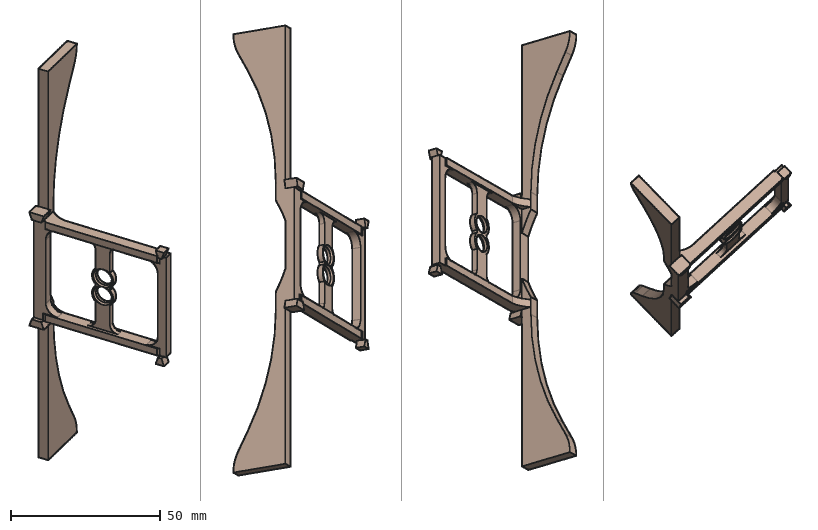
import cadquery as cq
import math


wing_length = 154.9
wing_thickness = 3.7
wing_depth = 19.8
waist_depth = 3.7
tip_radius = 14.9
sweep_radius = 85.2
sweep_start = 22.5
sweep_angle = math.radians(29)
waist_bottom = 16.1
taper_end = 8.4
taper_sag = 0.3

frame_height = 39.7
frame_right = 50.8
column_depth = 3.3
left_column_width = 4.6
right_column_width = 3.3
beam_height = 2.8
beam_front = -3.7
beam_back = 0.5
tenon_length = 1.0
tenon_front = -3.5
corner_radius = 4.3

post_center = 26.0
post_width = 5.5
post_front = -2.5
post_back = -0.5
post_fillet = 3.0
hole_diameter = 6.0
ring_diameter = 8.2
countersink_diameter = 7.1
countersink_depth = 0.8
ring_pitch = 7.0

foot_height = 2.8
foot_flare = 1.0
foot_front = -4.6
left_foot_width = wing_thickness
right_foot_width = right_column_width - 2 * foot_flare
right_foot_depth = 3.3

gusset_reach = 9.8
gusset_mid = (6.2, 1.7)

half_frame = frame_height / 2
half_opening = half_frame - beam_height
opening_left = left_column_width
opening_right = frame_right - right_column_width


def box(x_range, y_range, z_range):
    """Axis-aligned block from its three (low, high) ranges."""
    sizes = [high - low for low, high in (x_range, y_range, z_range)]
    corner = (x_range[0], y_range[0], z_range[0])
    return cq.Workplane("XY").box(*sizes, centered=False).translate(corner)


def both_ends(upper):
    """The solid together with its mirror image below Z = 0."""
    return upper.union(upper.mirror("XY"))


def extrude_y(sketch, y_back, y_front):
    """Extrude an XZ sketch, drawn at Y = 0, so that it fills y_front to y_back."""
    return sketch.extrude(y_back - y_front).translate((0, y_back, 0))


def upper_wing():
    """Upper half of the wing: waist, concave sweep, straight flank, convex tip."""
    half_length = wing_length / 2
    rise, run = math.cos(sweep_angle), math.sin(sweep_angle)

    def sweep_point(angle):
        return (waist_depth + sweep_radius * (1 - math.cos(angle)),
                sweep_start + sweep_radius * math.sin(angle))

    def tip_point(angle):
        return (wing_depth - tip_radius * (1 - math.cos(angle)),
                half_length - tip_radius * math.sin(angle))

    taper_middle = (waist_depth / 2 - taper_sag * rise,
                    (waist_bottom + taper_end) / 2 - taper_sag * run)
    return (
        cq.Workplane("YZ")
        .moveTo(0, taper_end)
        .threePointArc(taper_middle, (waist_depth, waist_bottom))
        .lineTo(waist_depth, sweep_start)
        .threePointArc(sweep_point(sweep_angle / 2), sweep_point(sweep_angle))
        .lineTo(*tip_point(sweep_angle))
        .threePointArc(tip_point(sweep_angle / 2), (wing_depth, half_length))
        .lineTo(0, half_length)
        .close()
        .extrude(wing_thickness)
    )


def corner_fill(x, z, side, radius, y_range):
    """Concave fillet in the upper corner at (x, z); side is +1 if it spreads to +X."""
    diagonal = radius * (1 - math.sqrt(0.5))
    sketch = (
        cq.Workplane("XZ")
        .moveTo(x, z)
        .lineTo(x + side * radius, z)
        .threePointArc((x + side * diagonal, z - diagonal), (x, z - radius))
        .close()
    )
    return extrude_y(sketch, y_range[1], y_range[0])


def columns():
    depth = (-column_depth, 0)
    height = (-half_frame, half_frame)
    left = box((0, opening_left), depth, height)
    right = box((opening_right, frame_right), depth, height)
    fills = corner_fill(opening_left, half_opening, 1, corner_radius, depth).union(
        corner_fill(opening_right, half_opening, -1, corner_radius, depth))
    return left.union(right).union(both_ends(fills))


def beams():
    depth = (beam_front, beam_back)
    height = (half_opening, half_frame)
    right_end = opening_right + tenon_length
    upper = box((opening_left, opening_right), depth, height)
    upper = upper.union(box((opening_right, right_end), (tenon_front, 0), height))
    tenon_left = opening_left - tenon_length
    lower_tenon = box((tenon_left, opening_left), (tenon_front, 0), (-half_frame, -half_opening))
    return both_ends(upper).union(lower_tenon)


def upper_gusset():
    return (
        cq.Workplane("XY", origin=(0, 0, half_opening))
        .moveTo(wing_thickness, waist_depth)
        .threePointArc(gusset_mid, (gusset_reach, beam_back))
        .lineTo(gusset_reach, -column_depth)
        .lineTo(wing_thickness, -column_depth)
        .close()
        .extrude(beam_height)
    )


def post():
    depth = (post_front, post_back)
    left = post_center - post_width / 2
    right = post_center + post_width / 2
    body = box((left, right), depth, (-half_opening, half_opening))
    fills = corner_fill(left, half_opening, -1, post_fillet, depth).union(
        corner_fill(right, half_opening, 1, post_fillet, depth))
    centers = [(post_center, ring_pitch / 2), (post_center, -ring_pitch / 2)]

    def discs(diameter):
        sketch = cq.Workplane("XZ").pushPoints(centers).circle(diameter / 2)
        return extrude_y(sketch, post_back, post_front)

    solid = body.union(both_ends(fills)).union(discs(ring_diameter)).cut(discs(hole_diameter))
    for x, z in centers:
        countersink = cq.Solid.makeCone(
            countersink_diameter / 2,
            hole_diameter / 2,
            countersink_depth,
            pnt=cq.Vector(x, post_front, z),
            dir=cq.Vector(0, 1, 0),
        )
        solid = solid.cut(cq.Workplane(countersink))
    return solid


def upper_foot(x_left, base_width, y_back):
    """Dovetail block that widens by foot_flare on both sides towards its top."""
    top = half_frame + foot_height
    x_right = x_left + base_width
    sketch = cq.Workplane("XZ").polyline([
        (x_left, half_frame),
        (x_right, half_frame),
        (x_right + foot_flare, top),
        (x_left - foot_flare, top),
    ]).close()
    return extrude_y(sketch, y_back, foot_front)


left_foot = upper_foot(0, left_foot_width, 0)
right_foot = upper_foot(opening_right + foot_flare, right_foot_width, foot_front + right_foot_depth)

result = columns().union(beams()).union(post())
for mirrored_feature in (upper_wing(), upper_gusset(), left_foot, right_foot):
    result = result.union(both_ends(mirrored_feature))